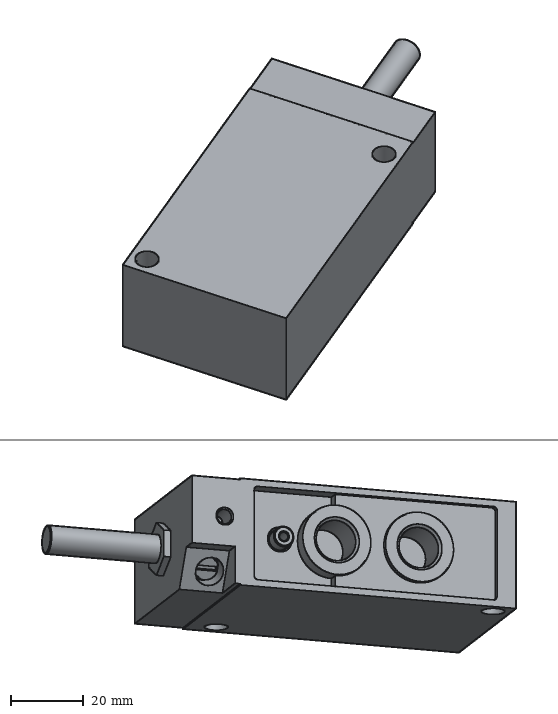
import cadquery as cq
import math

BODY_WIDTH = 50.0
BODY_LENGTH = 80.0
BODY_HEIGHT = 30.4
SIDE_X = -BODY_WIDTH / 2
INWARD = cq.Vector(1, 0, 0)

CAP_LENGTH = 14.0
CAP_HEIGHT = 29.7
CAP_BACK_Y = BODY_LENGTH + CAP_LENGTH

NUT_SIDES = 6
NUT_ACROSS_FLATS = 13.0
NUT_THICKNESS = 2.0
ROD_DIAMETER = 8.0
ROD_CHAMFER = 0.3
ROD_END_Y = 128.0

MOUNTING_HOLE_DIAMETER = 6.5
MOUNTING_HOLES = [(20.0, 72.0), (-20.0, 5.0)]

POCKET_FRONT_Y = 5.5
POCKET_BACK_Y = 76.0
POCKET_HEIGHT = 26.6
POCKET_CORNER_RADIUS = 1.2
POCKET_SHALLOW_DEPTH = 1.5
POCKET_DEEP_DEPTH = 4.7

REAR_PORT_Y = 52.0
PORT_SPACING = 24.0
PORT_PAD_DIAMETER = 19.73
PORT_BORE_DIAMETER = 11.45
PORT_MOUTH_DIAMETER = 13.0
PORT_BORE_DEPTH = 12.0

POST_Y = 67.0
POST_DIAMETER = 5.8
POST_TIP_DIAMETER = 5.2
POST_RECESS = 1.0
POST_GROOVE_INNER_DIAMETER = 5.9
POST_GROOVE_OUTER_DIAMETER = 7.0
POST_BORE_DIAMETER = 2.46
POST_MOUTH_DIAMETER = 3.0
POST_BORE_DEPTH = 6.0

CAP_HOLE_Y = 84.5
CAP_HOLE_Z = 4.0
CAP_HOLE_DIAMETER = 4.13
CAP_HOLE_MOUTH_DIAMETER = 5.0
CAP_HOLE_DEPTH = 8.0

LEDGE_DEPTH = 5.0
SLOPE_ANGLE = 30.0
SLOPE_TOP_X = SIDE_X + LEDGE_DEPTH
SLOPE_TOP_Z = -4.35
SLOPE_FRONT_Y = 81.5
SCREW_Y = 86.2
SCREW_Z = -9.85
SCREW_BORE_DIAMETER = 8.0
SCREW_HEAD_DIAMETER = 6.8
SCREW_HEAD_SINK = 3.5
SCREW_HEAD_HEIGHT = 2.0
SCREW_SLOT_WIDTH = 1.3
SCREW_SLOT_DEPTH = 1.5


def block(x_range, y_range, z_range):
    """Box between the given limits."""
    size = [high - low for low, high in (x_range, y_range, z_range)]
    corner = cq.Vector(x_range[0], y_range[0], z_range[0])
    return cq.Workplane(cq.Solid.makeBox(*size, corner))


def side_cylinder(diameter, depth, x, y, z=0.0):
    """Cylinder running inward from the given point."""
    start = cq.Vector(x, y, z)
    return cq.Workplane(cq.Solid.makeCylinder(diameter / 2, depth, start, INWARD))


def side_cone(outer_diameter, inner_diameter, depth, x, y, z=0.0):
    """Truncated cone that narrows inward from the given point."""
    start = cq.Vector(x, y, z)
    return cq.Workplane(cq.Solid.makeCone(outer_diameter / 2, inner_diameter / 2, depth, start, INWARD))


def countersunk_side_hole(diameter, mouth_diameter, depth, x, y, z=0.0):
    """Blind hole running inward from the given point, with a 45 degree mouth."""
    mouth_depth = (mouth_diameter - diameter) / 2
    mouth = side_cone(mouth_diameter, diameter, mouth_depth, x, y, z)
    return side_cylinder(diameter, depth, x, y, z).union(mouth)


def make_body():
    body = block(
        (-BODY_WIDTH / 2, BODY_WIDTH / 2),
        (0, BODY_LENGTH),
        (-BODY_HEIGHT / 2, BODY_HEIGHT / 2),
    )
    holes = cq.Workplane("XY").pushPoints(MOUNTING_HOLES).circle(MOUNTING_HOLE_DIAMETER / 2)
    return body.cut(holes.extrude(BODY_HEIGHT / 2, both=True))


def make_pocket():
    pocket = block(
        (SIDE_X, SIDE_X + POCKET_DEEP_DEPTH),
        (POCKET_FRONT_Y, POCKET_BACK_Y),
        (-POCKET_HEIGHT / 2, POCKET_HEIGHT / 2),
    )
    pocket = pocket.edges("|X").fillet(POCKET_CORNER_RADIUS)
    shallow_floor = block(
        (SIDE_X + POCKET_SHALLOW_DEPTH, SIDE_X + POCKET_DEEP_DEPTH),
        (POCKET_FRONT_Y, REAR_PORT_Y),
        (-POCKET_HEIGHT / 2, POCKET_HEIGHT / 2),
    )
    return pocket.cut(shallow_floor)


def add_ports(part):
    for y in (REAR_PORT_Y, REAR_PORT_Y - PORT_SPACING):
        pad = side_cylinder(PORT_PAD_DIAMETER, POCKET_DEEP_DEPTH, SIDE_X, y)
        bore = countersunk_side_hole(PORT_BORE_DIAMETER, PORT_MOUTH_DIAMETER, PORT_BORE_DEPTH, SIDE_X, y)
        part = part.union(pad).cut(bore)
    return part


def add_post(part):
    floor_x = SIDE_X + POCKET_DEEP_DEPTH
    groove_depth = (POST_GROOVE_OUTER_DIAMETER - POST_GROOVE_INNER_DIAMETER) / 2
    groove = side_cone(POST_GROOVE_OUTER_DIAMETER, POST_GROOVE_INNER_DIAMETER, groove_depth, floor_x, POST_Y)

    tip_x = SIDE_X + POST_RECESS
    post_length = floor_x + groove_depth - tip_x
    chamfer = (POST_DIAMETER - POST_TIP_DIAMETER) / 2
    post = side_cylinder(POST_DIAMETER, post_length, tip_x, POST_Y).faces("<X").chamfer(chamfer)
    bore = countersunk_side_hole(POST_BORE_DIAMETER, POST_MOUTH_DIAMETER, POST_BORE_DEPTH, tip_x, POST_Y)
    return part.cut(groove).union(post).cut(bore)


def make_cap():
    cap = block(
        (-BODY_WIDTH / 2, BODY_WIDTH / 2),
        (BODY_LENGTH, CAP_BACK_Y),
        (-CAP_HEIGHT / 2, CAP_HEIGHT / 2),
    )
    hole = countersunk_side_hole(
        CAP_HOLE_DIAMETER, CAP_HOLE_MOUTH_DIAMETER, CAP_HOLE_DEPTH, SIDE_X, CAP_HOLE_Y, CAP_HOLE_Z
    )
    return cap.cut(hole)


def make_corner_cut():
    """Section of the ledge and slope, run from its front wall to the back of the cap."""
    bottom_z = -CAP_HEIGHT / 2
    run = (SLOPE_TOP_Z - bottom_z) * math.tan(math.radians(SLOPE_ANGLE))
    corner = [
        (SIDE_X, SLOPE_TOP_Z),
        (SIDE_X, bottom_z),
        (SLOPE_TOP_X + run, bottom_z),
        (SLOPE_TOP_X, SLOPE_TOP_Z),
    ]
    section = cq.Workplane("XZ", origin=(0, CAP_BACK_Y, 0)).polyline(corner).close()
    return section.extrude(CAP_BACK_Y - SLOPE_FRONT_Y)


def make_screw_recess():
    """Bore square to the sloped face, less the slotted screw head at its bottom."""
    angle = math.radians(SLOPE_ANGLE)
    x = SLOPE_TOP_X + (SLOPE_TOP_Z - SCREW_Z) * math.tan(angle)
    outward = (-math.cos(angle), 0, -math.sin(angle))
    plane = cq.Plane(origin=(x, SCREW_Y, SCREW_Z), xDir=(0, 1, 0), normal=outward)
    slope = cq.Workplane(plane)
    bore = slope.circle(SCREW_BORE_DIAMETER / 2).extrude(-(SCREW_HEAD_SINK + SCREW_HEAD_HEIGHT))
    head_face = slope.workplane(offset=-SCREW_HEAD_SINK)
    head = head_face.circle(SCREW_HEAD_DIAMETER / 2).extrude(-SCREW_HEAD_HEIGHT)
    slot = head_face.rect(SCREW_HEAD_DIAMETER, SCREW_SLOT_WIDTH).extrude(-SCREW_SLOT_DEPTH)
    return bore.cut(head.cut(slot))


def make_nut_and_rod():
    across_corners = NUT_ACROSS_FLATS / math.cos(math.pi / NUT_SIDES)
    back = cq.Workplane("ZX", origin=(0, CAP_BACK_Y, 0))
    nut = back.polygon(NUT_SIDES, across_corners).extrude(NUT_THICKNESS)
    rod = back.circle(ROD_DIAMETER / 2).extrude(ROD_END_Y - CAP_BACK_Y)
    return nut.union(rod.faces(">Y").chamfer(ROD_CHAMFER))


valve_body = add_post(add_ports(make_body().cut(make_pocket())))
end_cap = make_cap().cut(make_corner_cut()).cut(make_screw_recess())
end_cap = end_cap.union(make_nut_and_rod())
result = valve_body.union(end_cap, clean=False)